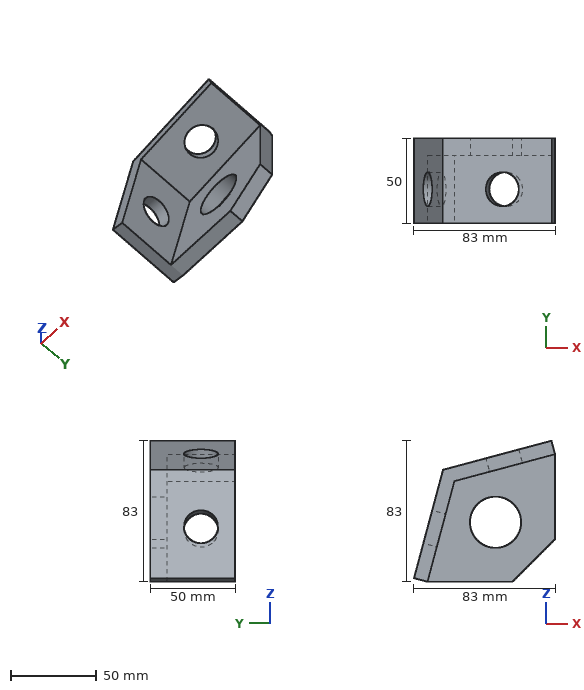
import cadquery as cq
import math

overall = 83.0
width = 50.0
end_offset = 8.0
tilt = math.radians(15)
web_thickness = 10.0
web_edge = 50.0
web_hole_diameter = 30.0
web_hole_inset = 35.0
flange_hole_diameter = 20.0
steep_hole_from_end = 31.4
shallow_hole_from_end = 30.0

flange_thickness = end_offset / math.cos(tilt)
end_rise = end_offset * math.tan(tilt)
inner_size = overall - end_offset
diagonal_ratio = math.tan(tilt) / (1 + math.tan(tilt))
inner_bend = inner_size * diagonal_ratio
outer_bend = (overall - end_rise) * diagonal_ratio

steep_end_outer = (0, end_rise)
steep_end_inner = (end_offset, 0)
bend_outer = (outer_bend, overall - outer_bend)
bend_inner = (end_offset + inner_bend, inner_size - inner_bend)


def mirrored(point):
    """Reflect a point across the diagonal that maps one flange to the other."""
    x, z = point
    return (overall - z, overall - x)


def extrude_outline(points, start_y, depth):
    """Extrude an XZ outline toward +Y."""
    plane = cq.Workplane("XZ", origin=(0, start_y, 0))
    return plane.polyline(points).close().extrude(-depth)


def make_flanges():
    outline = [
        steep_end_outer,
        bend_outer,
        mirrored(steep_end_outer),
        mirrored(steep_end_inner),
        bend_inner,
        steep_end_inner,
    ]
    return extrude_outline(outline, 0, width)


def make_web():
    cut_start = (end_offset + web_edge, 0)
    outline = [
        steep_end_inner,
        bend_inner,
        mirrored(steep_end_inner),
        mirrored(cut_start),
        cut_start,
    ]
    return extrude_outline(outline, width - web_thickness, web_thickness)


def hole_cutter(center, direction, diameter, depth):
    """Make a cylinder that starts at center and runs along direction."""
    return cq.Workplane(
        cq.Solid.makeCylinder(diameter / 2, depth, cq.Vector(*center), cq.Vector(*direction))
    )


def steep_face_point(from_end):
    """Return the (x, z) point on the steep outer face at a distance from its end."""
    return (from_end * math.sin(tilt), end_rise + from_end * math.cos(tilt))


def make_flange_holes():
    """Holes square to each flange, centred on the width left clear by the web."""
    hole_y = (width - web_thickness) / 2
    steep_x, steep_z = steep_face_point(steep_hole_from_end)
    shallow_x, shallow_z = mirrored(steep_face_point(shallow_hole_from_end))
    steep_axis = (math.cos(tilt), 0, -math.sin(tilt))
    shallow_axis = (math.sin(tilt), 0, -math.cos(tilt))
    depth = 2 * flange_thickness
    steep_hole = hole_cutter((steep_x, hole_y, steep_z), steep_axis, flange_hole_diameter, depth)
    shallow_hole = hole_cutter((shallow_x, hole_y, shallow_z), shallow_axis, flange_hole_diameter, depth)
    return steep_hole.union(shallow_hole)


def make_web_hole():
    center = (overall - web_hole_inset, width - web_thickness, web_hole_inset)
    return hole_cutter(center, (0, 1, 0), web_hole_diameter, web_thickness)


bracket = make_flanges().union(make_web())
result = bracket.cut(make_flange_holes()).cut(make_web_hole())